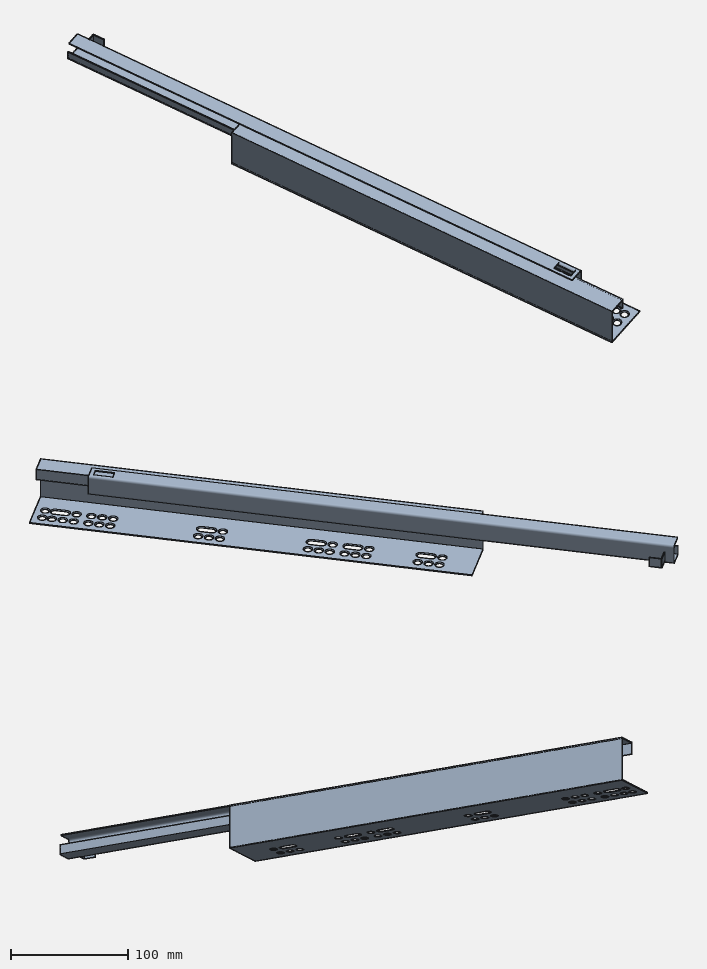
import cadquery as cq
import math

TOTAL_LENGTH = 559.0
TOTAL_WIDTH = 43.5
TOTAL_HEIGHT = 42.0
SHEET = 1.0

PROFILE_START = 172.0
PROFILE_TOP = 38.5
FLANGE_WIDTH = 17.5
LEG_BOTTOM = 28.0

HOLE_DIAMETER = 6.0
HOLE_PITCH = 9.5
COUNTERSINK_GAP = 1.4
COUNTERSINK_DIAMETER = HOLE_PITCH - COUNTERSINK_GAP
FIRST_GROUP = 212.5
LAST_GROUP = 532.0
SLOTTED_GROUPS = (0, 2, 3, 6, 10)
ROUND_GROUP = 9
GROUP_PITCH = (LAST_GROUP - FIRST_GROUP) / SLOTTED_GROUPS[-1]
END_HOLE_INSET = 9.0
OUTER_ROW_Y = 33.5
INNER_ROW_Y = 22.0

RAIL_LENGTH = 512.0
RAIL_BACK = 24.5
RAIL_FLANGE_FRONT = 10.0
RAIL_FRONT = 8.5
RAIL_BOTTOM = 23.5
RAIL_LIP_TOP = 32.5
RAIL_BEND = 2.0
RAIL_INNER_BEND = 2.0
RAIL_LIP_BEND = 1.0

WINDOW_START = 491.5
WINDOW_LENGTH = 17.0
WINDOW_FRONT = 13.5
WINDOW_BACK = 19.5
TAB_DEPTH = 2.0
TAB_BEND = 1.5

HOOK_START = 8.0
HOOK_LENGTH = 11.0
HOOK_BACK = 36.5
HOOK_BOTTOM = 25.5
HOOK_TOP = 34.5


def block(x_range, y_range, z_range):
    """Box between the given limits along each axis."""
    (x0, x1), (y0, y1), (z0, z1) = x_range, y_range, z_range
    return cq.Workplane("XY").box(x1 - x0, y1 - y0, z1 - z0, centered=False).translate((x0, y0, z0))


def group_center(step):
    return FIRST_GROUP + step * GROUP_PITCH


def sink(outlines):
    """Cutter narrowing from the outlines on top of the base to the hole size underneath."""
    taper = math.degrees(math.atan2((COUNTERSINK_DIAMETER - HOLE_DIAMETER) / 2, SHEET))
    return outlines.extrude(-SHEET, taper=taper)


def mounting_holes():
    """Cutters for two rows of holes in the base; the inner row merges pairs into slots."""
    points = []
    slots = []
    for step in (*SLOTTED_GROUPS, ROUND_GROUP):
        center = group_center(step)
        for offset in (-HOLE_PITCH, 0, HOLE_PITCH):
            points.append((center + offset, OUTER_ROW_Y))
        points.append((center - HOLE_PITCH, INNER_ROW_Y))
        if step == ROUND_GROUP:
            points += [(center, INNER_ROW_Y), (center + HOLE_PITCH, INNER_ROW_Y)]
        else:
            slots.append((center + HOLE_PITCH / 2, INNER_ROW_Y))
    for row in (OUTER_ROW_Y, INNER_ROW_Y):
        points.append((TOTAL_LENGTH - END_HOLE_INSET, row))
    base_top = cq.Workplane("XY").workplane(offset=SHEET)
    round_cutters = sink(base_top.pushPoints(points).circle(COUNTERSINK_DIAMETER / 2))
    slot_length = HOLE_PITCH + COUNTERSINK_DIAMETER
    slot_cutters = sink(base_top.pushPoints(slots).slot2D(slot_length, COUNTERSINK_DIAMETER))
    return round_cutters.union(slot_cutters)


def make_cabinet_profile():
    """Wall, base, top flange and leg, with the mounting holes in the base."""
    span = (PROFILE_START, TOTAL_LENGTH)
    wall_side = block(span, (0, TOTAL_WIDTH), (0, PROFILE_TOP))
    inside = block(span, (SHEET, TOTAL_WIDTH), (SHEET, PROFILE_TOP - SHEET))
    above_base = block(span, (FLANGE_WIDTH, TOTAL_WIDTH), (SHEET, PROFILE_TOP))
    leg = block(span, (FLANGE_WIDTH - SHEET, FLANGE_WIDTH), (LEG_BOTTOM, PROFILE_TOP))
    body = wall_side.cut(inside).cut(above_base).union(leg)
    return body.cut(mounting_holes())


def make_hook():
    """L-shaped hook: a plate standing off the back of the rail and a tip along X."""
    height = (HOOK_BOTTOM, HOOK_TOP)
    plate_root = RAIL_BACK - SHEET / 2
    plate = block((HOOK_START, HOOK_START + SHEET), (plate_root, HOOK_BACK), height)
    tip = block((HOOK_START, HOOK_START + HOOK_LENGTH), (HOOK_BACK - SHEET, HOOK_BACK), height)
    return plate.union(tip)


def make_tab():
    """Tab folded down at the back edge of the window: a bent strip extruded along X."""
    bend_end = WINDOW_BACK + TAB_BEND
    inner_bend = TAB_BEND - SHEET
    diagonal = math.sqrt(0.5)
    bend_z = TOTAL_HEIGHT - TAB_BEND
    tab_bottom = TOTAL_HEIGHT - TAB_DEPTH
    return (
        cq.Workplane("YZ", origin=(WINDOW_START, 0, 0))
        .moveTo(bend_end, TOTAL_HEIGHT)
        .threePointArc(
            (bend_end - TAB_BEND * diagonal, bend_z + TAB_BEND * diagonal), (WINDOW_BACK, bend_z)
        )
        .lineTo(WINDOW_BACK, tab_bottom)
        .lineTo(WINDOW_BACK + SHEET, tab_bottom)
        .lineTo(WINDOW_BACK + SHEET, bend_z)
        .threePointArc(
            (bend_end - inner_bend * diagonal, bend_z + inner_bend * diagonal),
            (bend_end, TOTAL_HEIGHT - SHEET),
        )
        .close()
        .extrude(WINDOW_LENGTH)
    )


def make_rail():
    """C-section open to the front, with the window, the tab and the hook."""
    span = (0, RAIL_LENGTH)
    outside = block(span, (RAIL_FRONT, RAIL_BACK), (RAIL_BOTTOM, TOTAL_HEIGHT))
    outside = outside.edges("|X and >Y").fillet(RAIL_BEND)
    outside = outside.edges("|X and <Y and <Z").fillet(RAIL_LIP_BEND)
    inside = block(
        span, (RAIL_FRONT + SHEET, RAIL_BACK - SHEET), (RAIL_BOTTOM + SHEET, TOTAL_HEIGHT - SHEET)
    )
    inside = inside.edges("|X and >Y").fillet(RAIL_INNER_BEND)
    flange_trim = block(span, (RAIL_FRONT, RAIL_FLANGE_FRONT), (RAIL_LIP_TOP, TOTAL_HEIGHT))
    mouth_back = RAIL_BACK - SHEET - RAIL_INNER_BEND
    mouth = block(span, (RAIL_FRONT, mouth_back), (RAIL_LIP_TOP, TOTAL_HEIGHT - SHEET))
    window = block(
        (WINDOW_START, WINDOW_START + WINDOW_LENGTH),
        (WINDOW_FRONT, WINDOW_BACK + TAB_BEND),
        (TOTAL_HEIGHT - SHEET, TOTAL_HEIGHT),
    )
    rail = outside.cut(inside).cut(flange_trim).cut(mouth).cut(window)
    return rail.union(make_tab()).union(make_hook())


cabinet_profile = make_cabinet_profile()
rail = make_rail()
result = cq.Compound.makeCompound([cabinet_profile.val(), rail.val()])